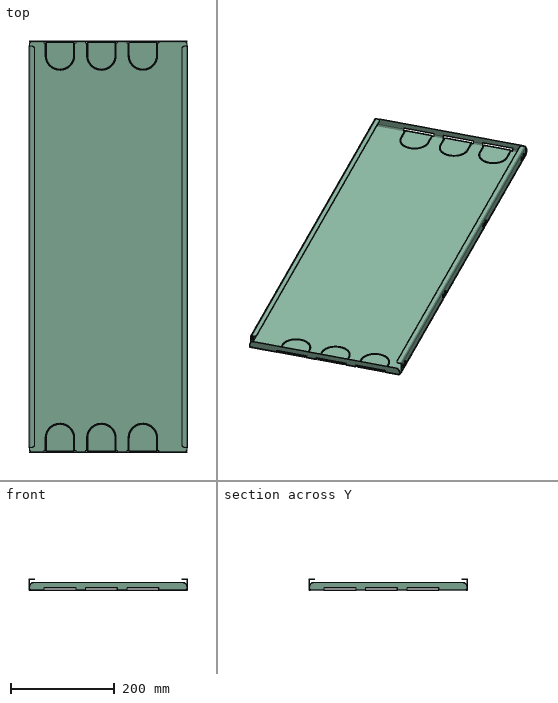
import cadquery as cq

WIDTH = 306.4
LENGTH = 794.0
HEIGHT = 22.2
SHEET = 1.2
BEND_INNER = 0.8
BEND_OUTER = BEND_INNER + SHEET

SIDE_END_GAP = 10.0
SIDE_LENGTH = LENGTH - 2 * SIDE_END_GAP
LIP_WIDTH = 11.0
LIP_CORNER_RADIUS = 5.0

END_HEIGHT = 15.5
END_WIDTH = WIDTH - 2 * SHEET
END_CORNER_RADIUS = 8.0

FIRST_KNOCKOUT_X = -93.2
KNOCKOUT_PITCH = 80.0
KNOCKOUT_COUNT = 3
KNOCKOUT_X = [FIRST_KNOCKOUT_X + i * KNOCKOUT_PITCH for i in range(KNOCKOUT_COUNT)]
KNOCKOUT_WIDTH = 56.0
KNOCKOUT_DEPTH = 56.0
SLIT_WIDTH = 1.2
TAB_WIDTH = 2.0
BEND_SLOT_WIDTH = 61.0
BEND_SLOT_HEIGHT = 5.0
BEND_SLOT_DEPTH = BEND_OUTER

RELIEF_DEPTH = 3.6
CORNER_RELIEF_WIDTH = 1.2

HOLE_DIAMETER = 7.0
HOLE_Z = 8.7
HOLE_SPACING = 12.5
HOLE_PAIR_Y = [-369.5, -131.5, 119.0, 369.5]


def box(x_size, y_size, z_size):
    """Block centred on X and Y, standing on the XY plane."""
    return cq.Workplane("XY").box(x_size, y_size, z_size, centered=(True, True, False))


def side_channel():
    """Floor and both side walls, each wall with its lip folded inward at the top."""
    outer = box(WIDTH, SIDE_LENGTH, HEIGHT).edges("|Y").fillet(BEND_OUTER)
    inner = box(WIDTH - 2 * SHEET, SIDE_LENGTH, HEIGHT - 2 * SHEET)
    inner = inner.translate((0, 0, SHEET)).edges("|Y").fillet(BEND_INNER)
    opening = box(WIDTH - 2 * LIP_WIDTH, SIDE_LENGTH, SHEET).translate((0, 0, HEIGHT - SHEET))
    tube = outer.cut(inner).cut(opening)
    return tube.edges("|Z").edges(">Z").fillet(LIP_CORNER_RADIUS)


def end_channel():
    """Floor and both end walls."""
    outer = box(END_WIDTH, LENGTH, END_HEIGHT).edges("|X and <Z").fillet(BEND_OUTER)
    inner = box(END_WIDTH, LENGTH - 2 * SHEET, END_HEIGHT).translate((0, 0, SHEET))
    inner = inner.edges("|X and <Z").fillet(BEND_INNER)
    return outer.cut(inner).edges("|Y and >Z").fillet(END_CORNER_RADIUS)


def tongue(x, width, depth):
    """Round-ended tongue reaching in from the -Y edge."""
    radius = width / 2
    y_edge = -LENGTH / 2
    y_arc = y_edge + depth - radius
    return (
        cq.Workplane("XY")
        .moveTo(x - radius, y_edge)
        .lineTo(x - radius, y_arc)
        .threePointArc((x, y_edge + depth), (x + radius, y_arc))
        .lineTo(x + radius, y_edge)
        .close()
        .extrude(SHEET)
    )


def knockout_cut(x):
    """Slit around a tongue at the -Y end, left whole at its tip, plus the bend slot."""
    slit = tongue(x, KNOCKOUT_WIDTH, KNOCKOUT_DEPTH)
    slit = slit.cut(tongue(x, KNOCKOUT_WIDTH - 2 * SLIT_WIDTH, KNOCKOUT_DEPTH - SLIT_WIDTH))
    tab_y = -LENGTH / 2 + KNOCKOUT_DEPTH
    slit = slit.cut(box(TAB_WIDTH, TAB_WIDTH * 2, SHEET).translate((x, tab_y, 0)))
    bend_slot = box(BEND_SLOT_WIDTH, 2 * BEND_SLOT_DEPTH, BEND_SLOT_HEIGHT)
    reliefs = box(BEND_SLOT_WIDTH, 2 * RELIEF_DEPTH, SHEET)
    reliefs = reliefs.cut(box(KNOCKOUT_WIDTH - 2 * SLIT_WIDTH, 2 * RELIEF_DEPTH, SHEET))
    return slit.union(bend_slot.union(reliefs).translate((x, -LENGTH / 2, 0)))


def corner_reliefs():
    """Notches at both ends of the -Y bend, freeing the end wall from the floor corners."""
    notch = box(2 * CORNER_RELIEF_WIDTH, 2 * RELIEF_DEPTH, BEND_OUTER)
    left = notch.translate((-END_WIDTH / 2, -LENGTH / 2, 0))
    return left.union(left.mirror("YZ"))


def side_holes():
    """Drills passing through both side walls."""
    points = [(y + side * HOLE_SPACING / 2, HOLE_Z) for y in HOLE_PAIR_Y for side in (-1, 1)]
    return cq.Workplane("YZ").pushPoints(points).circle(HOLE_DIAMETER / 2).extrude(WIDTH / 2, both=True)


result = side_channel().union(end_channel()).cut(side_holes())
end_cutters = [knockout_cut(x) for x in KNOCKOUT_X] + [corner_reliefs()]
for cutter in end_cutters:
    result = result.cut(cutter).cut(cutter.mirror("XZ"))